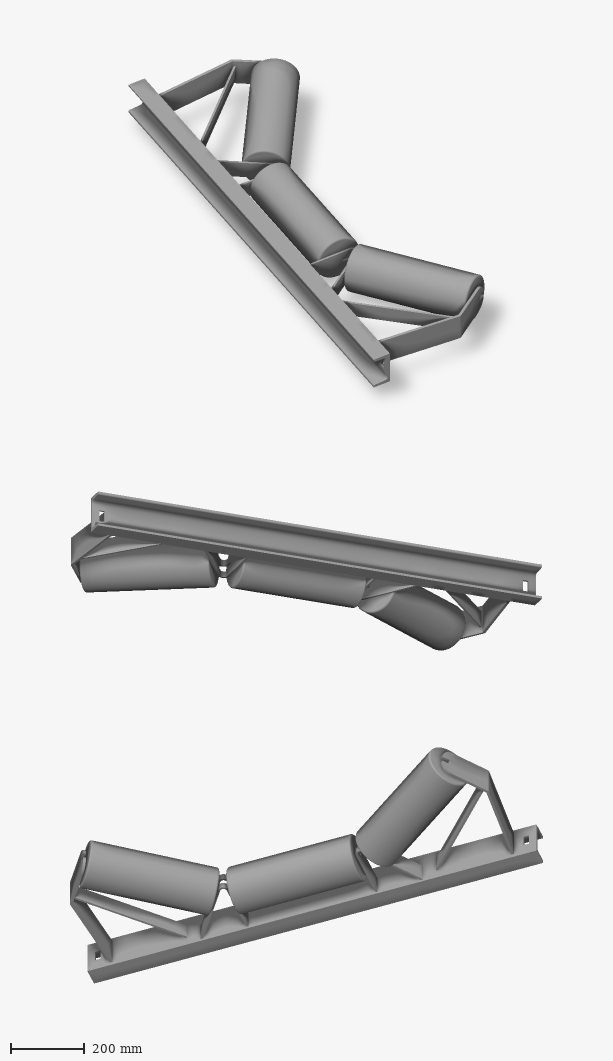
import cadquery as cq
import math

BEAM_LENGTH = 1300.0
BEAM_HEIGHT = 100.0
BEAM_DEPTH = 51.0
WEB = 6.0
FLANGE_TIP = 8.0
FLANGE_ROOT = 10.0
ROOT_RADIUS = 8.0
LIP_RADIUS = 4.0
HOLE_WIDTH = 15.0
HOLE_HEIGHT = 31.0
HOLE_X = 620.0

ROLLER_RADIUS = 66.0
ROLLER_LENGTH = 360.0
ROLLER_EDGE = 5.0
SHAFT_RADIUS = 9.8
SHAFT_FLATS = 15.0
TROUGH_ANGLE = math.radians(35)
TILT_ANGLE = math.radians(3)
CENTRE_Y = 168.0
CENTRE_Z = -18.0
WING_X = -381.0
WING_Y = 287.0

OUTER_BAR = 8.0
OUTER_BAR_WIDTH = 79.0
INNER_BAR = 6.0
INNER_BAR_WIDTH = 51.0
GAP = 4.0
OUTER_FOOT_X = -585.0
OUTER_BEND_Y = 299.0
OUTER_BEND_RADIUS = 4.0
INNER_BEND_RADIUS = 9.0
TIP_REACH = 31.0
TIP_RADIUS = 32.0

STRUT = 6.0
STRUT_WIDTH = 45.0
STRUT_FOOT_X = -363.0
STRUT_ABOVE_BEND = 8.0

OUTER_STUB = GAP + OUTER_BAR
INNER_STUB = GAP + INNER_BAR
SLOT_DEPTH = 2 * OUTER_STUB
HALF_ROLLER = ROLLER_LENGTH / 2
WING_Z = CENTRE_Z + HALF_ROLLER * math.sin(TILT_ANGLE)

WING_OUT = (-math.cos(TROUGH_ANGLE), math.sin(TROUGH_ANGLE))
WING_UP = (math.sin(TROUGH_ANGLE), math.cos(TROUGH_ANGLE))

CENTRE_PLANE = cq.Plane(origin=(0, CENTRE_Y, CENTRE_Z), xDir=(0, 1, 0), normal=(1, 0, 0))
WING_PLANE = cq.Plane(
    origin=(WING_X, WING_Y, WING_Z),
    xDir=(*WING_UP, 0),
    normal=(
        WING_OUT[0] * math.cos(TILT_ANGLE),
        WING_OUT[1] * math.cos(TILT_ANGLE),
        math.sin(TILT_ANGLE),
    ),
)


def moved(point, direction, distance):
    return (point[0] + direction[0] * distance, point[1] + direction[1] * distance)


def wing_point(along, up=0.0):
    """Plan position measured along the left wing axis and square to it."""
    return moved(moved((WING_X, WING_Y), WING_OUT, along), WING_UP, up)


def on_line(point, direction, y):
    """Where the plan line through a point reaches the given Y."""
    return moved(point, direction, (y - point[1]) / direction[1])


def make_beam():
    half = BEAM_HEIGHT / 2
    inner_y = BEAM_DEPTH - WEB
    profile = [
        (0, half),
        (BEAM_DEPTH, half),
        (BEAM_DEPTH, -half),
        (0, -half),
        (0, FLANGE_TIP - half),
        (inner_y, FLANGE_ROOT - half),
        (inner_y, half - FLANGE_ROOT),
        (0, half - FLANGE_TIP),
    ]
    beam = cq.Workplane("YZ").polyline(profile).close().extrude(BEAM_LENGTH / 2, both=True)
    for side in (-1, 1):
        root = (0, inner_y, side * (half - FLANGE_ROOT))
        lip = (0, 0, side * (half - FLANGE_TIP))
        beam = beam.edges(cq.selectors.NearestToPointSelector(root)).fillet(ROOT_RADIUS)
        beam = beam.edges(cq.selectors.NearestToPointSelector(lip)).fillet(LIP_RADIUS)
    holes = (
        cq.Workplane("XZ")
        .pushPoints([(-HOLE_X, 0), (HOLE_X, 0)])
        .rect(HOLE_WIDTH, HOLE_HEIGHT)
        .extrude(-BEAM_DEPTH)
    )
    return beam.cut(holes)


def make_roller(plane, first_stub, last_stub):
    """Drum about the plane's normal, with the given shaft length standing out of each end."""
    drum = cq.Workplane(plane).workplane(offset=-HALF_ROLLER).circle(ROLLER_RADIUS).extrude(ROLLER_LENGTH)
    drum = drum.edges("%CIRCLE").fillet(ROLLER_EDGE)
    shaft_end = cq.Workplane(plane).workplane(offset=-HALF_ROLLER - first_stub)
    shaft_length = first_stub + ROLLER_LENGTH + last_stub
    flats = shaft_end.rect(2 * SHAFT_RADIUS, SHAFT_FLATS).extrude(shaft_length)
    shaft = shaft_end.circle(SHAFT_RADIUS).extrude(shaft_length)
    return drum.union(shaft.intersect(flats))


def shaft_slot(plane, end):
    """Cutter for an open slot whose closed end fits the shaft at one end (+1 or -1) of a roller."""
    base = cq.Workplane(plane).workplane(offset=end * HALF_ROLLER)
    depth = end * SLOT_DEPTH
    seat = base.circle(SHAFT_RADIUS).extrude(depth)
    seat = seat.intersect(base.rect(2 * SHAFT_RADIUS, SHAFT_FLATS).extrude(depth))
    mouth = base.center(ROLLER_RADIUS / 2, 0).rect(ROLLER_RADIUS, SHAFT_FLATS).extrude(depth)
    return seat.union(mouth)


def behind_beam(body):
    """Keep only the part of a body that stands behind the beam's web."""
    room = cq.Workplane("XY").box(BEAM_LENGTH, BEAM_LENGTH, BEAM_LENGTH, centered=(True, False, True))
    return body.intersect(room.translate((0, BEAM_DEPTH, 0)))


def bent_bar(start, bend, end, inner_radius, thickness, width):
    """Flat bar through three plan points on its outer face, with its thickness to the right."""
    normals = []
    for first, last in ((start, bend), (bend, end)):
        length = math.dist(first, last)
        normals.append(((last[1] - first[1]) / length, (first[0] - last[0]) / length))
    before, after = normals
    mitre = thickness / (1 + before[0] * after[0] + before[1] * after[1])
    inner_bend = moved(moved(bend, before, mitre), after, mitre)
    outline = [start, bend, end, moved(end, after, thickness), inner_bend]
    outline.append(moved(start, before, thickness))
    bar = cq.Workplane("XY").polyline(outline).close().extrude(width / 2, both=True)
    for corner, radius in ((bend, inner_radius + thickness), (inner_bend, inner_radius)):
        bar = bar.edges(cq.selectors.NearestToPointSelector((*corner, 0))).fillet(radius)
    return bar


OUTER_FOOT = (OUTER_FOOT_X, BEAM_DEPTH)
OUTER_BEND = on_line(wing_point(HALF_ROLLER + OUTER_STUB), WING_UP, OUTER_BEND_Y)


def make_outer_bracket():
    foot_direction = (OUTER_FOOT[0] - OUTER_BEND[0], OUTER_FOOT[1] - OUTER_BEND[1])
    start = on_line(OUTER_FOOT, foot_direction, 0)
    tip = wing_point(HALF_ROLLER + OUTER_STUB, TIP_REACH)
    bracket = bent_bar(start, OUTER_BEND, tip, OUTER_BEND_RADIUS, OUTER_BAR, OUTER_BAR_WIDTH)
    tip_middle = wing_point(HALF_ROLLER + GAP + OUTER_BAR / 2, TIP_REACH)
    for side in (-1, 1):
        corner = (*tip_middle, side * OUTER_BAR_WIDTH / 2)
        bracket = bracket.edges(cq.selectors.NearestToPointSelector(corner)).fillet(TIP_RADIUS)
    return behind_beam(bracket).cut(shaft_slot(WING_PLANE, 1))


def make_inner_bracket():
    upright_x = -HALF_ROLLER - GAP
    sloping_face = wing_point(-HALF_ROLLER - GAP)
    peak = moved(sloping_face, WING_UP, (upright_x - sloping_face[0]) / WING_UP[0])
    start = on_line(peak, WING_UP, 0)
    end = (upright_x, 0)
    bracket = bent_bar(start, peak, end, INNER_BEND_RADIUS, INNER_BAR, INNER_BAR_WIDTH)
    bracket = behind_beam(bracket).translate((0, 0, CENTRE_Z))
    for cutter in (shaft_slot(WING_PLANE, -1), shaft_slot(CENTRE_PLANE, -1)):
        bracket = bracket.cut(cutter)
    return bracket


def make_strut(bracket):
    """Diagonal bar that starts inside the bracket wall, then is trimmed by the bracket and the beam."""
    top = moved(moved(OUTER_BEND, (1, 0), OUTER_BAR / 2), WING_UP, STRUT_ABOVE_BEND)
    run = STRUT_FOOT_X - top[0]
    drop = top[1] - BEAM_DEPTH
    length = math.hypot(run, drop)
    bar = cq.Workplane("XY").box(length + STRUT, STRUT, STRUT_WIDTH, centered=(False, True, True))
    bar = bar.rotate((0, 0, 0), (0, 0, 1), -math.degrees(math.atan2(drop, run))).translate((*top, 0))
    return behind_beam(bar).cut(bracket)


beam = make_beam()
centre_roller = make_roller(CENTRE_PLANE, INNER_STUB, INNER_STUB)
wing_roller = make_roller(WING_PLANE, INNER_STUB, OUTER_STUB)
outer_bracket = make_outer_bracket()
inner_bracket = make_inner_bracket()
strut = make_strut(outer_bracket)

bodies = [beam.solids().val(), centre_roller.solids().val()]
for left_body in (wing_roller, outer_bracket, inner_bracket, strut):
    bodies.append(left_body.solids().val())
    bodies.append(left_body.mirror("YZ").solids().val())

result = cq.Compound.makeCompound(bodies)